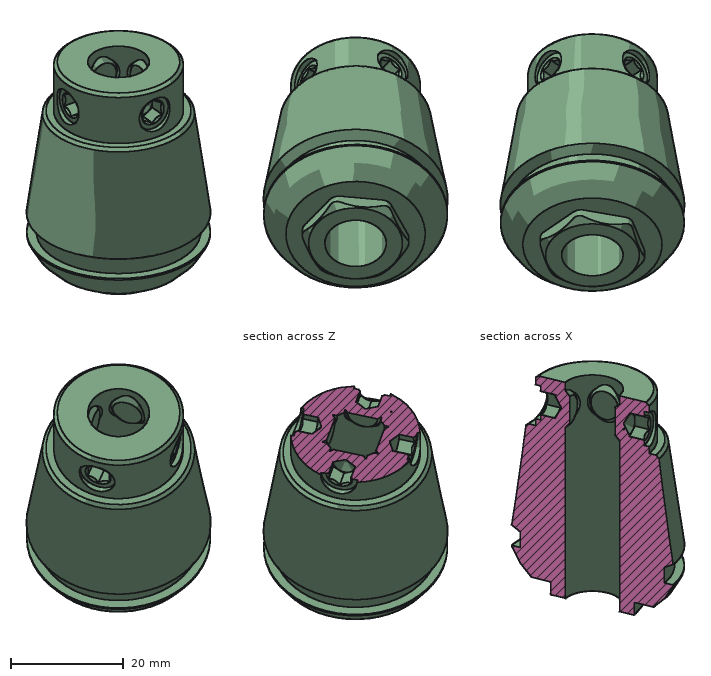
import cadquery as cq
import math

total_height = 43.0
hex_height = 2.55
flange_break_z = 4.85
flange_lip_z = 7.65
flange_top_z = 8.0
groove_top_z = 11.0
body_rim_z = 12.0
shoulder_z = 33.0

body_diameter = 32.72
shoulder_diameter = 27.0
neck_diameter = 23.0
flange_diameter = 32.6
flange_break_diameter = 29.33
flange_bottom_diameter = 24.7
groove_diameter = 29.2
chamfer_width = 0.65
chamfer_height = 0.55

hex_across_flats = 17.0
hex_corner_radius = 2.0
hex_chamfer_base_diameter = 16.65

bore_diameter = 10.9

screw_z = 37.65
screw_count = 4
screw_hole_diameter = 6.65
screw_diameter = 8.0
screw_outer_radius = 10.5
screw_tip_radius = 4.5
screw_tip_diameter = 5.5
socket_across_flats = 4.0
socket_rim_diameter = 4.8
socket_rim_angle = 90.0
socket_depth = 3.0
socket_tip_angle = 120.0


def cone_depth(diameter, tip_angle):
    """Depth of a drill tip with the given full angle."""
    return diameter / 2 / math.tan(math.radians(tip_angle / 2))


def cone(base_diameter, depth):
    """Cone with its base on the XY plane and its tip at +Z."""
    profile = cq.Workplane("XZ").polyline([(0, 0), (base_diameter / 2, 0), (0, depth)]).close()
    return profile.revolve(360, (0, 0, 0), (0, 1, 0))


def hexagon(across_flats, height):
    """Hexagonal prism along +Z with two flats facing +Y and -Y."""
    return cq.Workplane("XY").polygon(6, across_flats / math.cos(math.radians(30))).extrude(height)


def turned_body():
    """Flange, groove, tapered body and neck as one revolved outline."""
    shoulder_radius = shoulder_diameter / 2
    neck_radius = neck_diameter / 2
    outline = [
        (0, hex_height),
        (flange_bottom_diameter / 2, hex_height),
        (flange_break_diameter / 2, flange_break_z),
        (flange_diameter / 2, flange_lip_z),
        (flange_diameter / 2, flange_top_z),
        (groove_diameter / 2, flange_top_z),
        (groove_diameter / 2, groove_top_z),
        (body_diameter / 2, body_rim_z),
        (shoulder_radius, shoulder_z - chamfer_height),
        (shoulder_radius - chamfer_width, shoulder_z),
        (neck_radius, shoulder_z),
        (neck_radius, total_height - chamfer_height),
        (neck_radius - chamfer_width, total_height),
        (0, total_height),
    ]
    return cq.Workplane("XZ").polyline(outline).close().revolve(360, (0, 0, 0), (0, 1, 0))


def hex_end():
    """Rounded hex, its lower corners trimmed by a 45 degree cone."""
    prism = hexagon(hex_across_flats, hex_height).edges("|Z").fillet(hex_corner_radius)
    base_radius = hex_chamfer_base_diameter / 2
    base_circle = cq.Workplane("XY").circle(base_radius)
    top_circle = base_circle.workplane(offset=hex_height).circle(base_radius + hex_height)
    trim = top_circle.loft(ruled=True)
    return prism.intersect(trim)


def screw_hole():
    """Hole for one screw along +Z, from the bore axis out through the neck."""
    return cq.Workplane("XY").circle(screw_hole_diameter / 2).extrude(neck_diameter / 2)


def socket():
    """Hex socket along +Z with a conical lead-in at the rim and a conical bottom."""
    lead_in = cone(socket_rim_diameter, cone_depth(socket_rim_diameter, socket_rim_angle))
    tip = cone(socket_across_flats, cone_depth(socket_across_flats, socket_tip_angle))
    bottom = tip.translate((0, 0, socket_depth))
    return hexagon(socket_across_flats, socket_depth).union(lead_in).union(bottom)


def set_screw():
    """One set screw along +Z, chamfered tip down and socket up, at its distance from the bore axis."""
    length = screw_outer_radius - screw_tip_radius
    shank = cq.Workplane("XY").circle(screw_diameter / 2).extrude(length)
    tip_chamfer = (screw_diameter - screw_tip_diameter) / 2
    shank = shank.faces("<Z").chamfer(tip_chamfer).translate((0, 0, screw_tip_radius))
    return shank.cut(socket().mirror("XY").translate((0, 0, screw_outer_radius)))


def at_side(shape, index):
    """Turn a shape from +Z to point out of the neck at the given screw position."""
    laid_down = shape.rotate((0, 0, 0), (0, 1, 0), 90).translate((0, 0, screw_z))
    return laid_down.rotate((0, 0, 0), (0, 0, 1), index * 360 / screw_count)


bore = cq.Workplane("XY").circle(bore_diameter / 2).extrude(total_height)
result = turned_body().union(hex_end()).cut(bore)

for index in range(screw_count):
    result = result.cut(at_side(screw_hole(), index)).union(at_side(set_screw(), index))